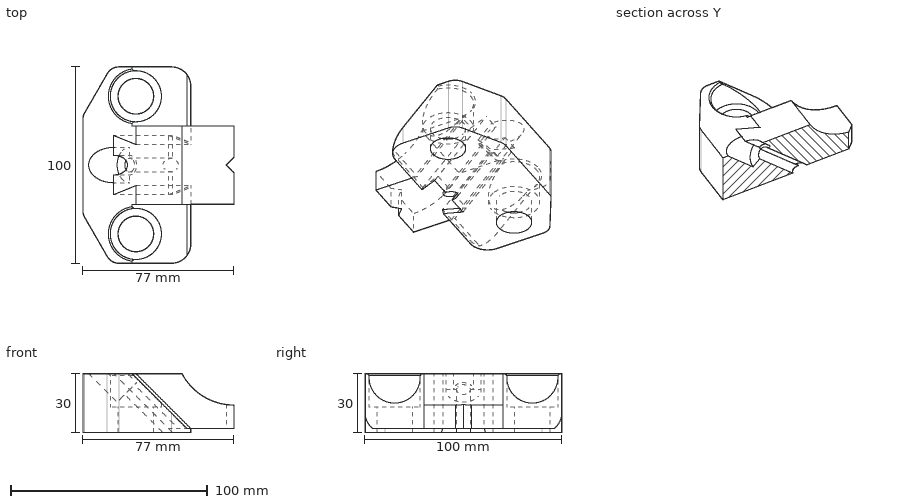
import cadquery as cq
import math

height = 30.0
base_length = 55.0
base_width = 100.0
nose_half_width = 25.0
nose_angle = 60.0
nose_radius = 7.0
rear_radius = 10.0

lip_height = 2.0
pad_top_x = base_length - (height - lip_height)
pad_offset = 2.0
slope_top_x = pad_top_x - pad_offset

mount_x = pad_top_x
mount_y = 35.0
mount_radius = 9.0
counterbore_radius = 13.0
counterbore_floor = 13.0
counterbore_chamfer = 1.0

tail_front_x = 15.7
tail_half_width = 15.0
neck_half_width = 10.5

block_end_x = 77.0
block_width = 40.0
block_end_height = 14.0
saddle_radius = 30.0
notch_depth = 4.0
notch_half_width = 4.0

head_radius = 9.0
head_depth = 11.5
block_groove_radius = 5.0
shank_radius = 3.5
screw_overrun = 10.0
screw_length = height * math.sqrt(2) + screw_overrun


def side_profile(points, width):
    """Extrude an XZ outline symmetrically about the plane Y = 0."""
    return cq.Workplane("XZ").polyline(points).close().extrude(width / 2, both=True)


def screw_cylinder(radius, start, end):
    """Cylinder on the 45 degree screw axis between two distances from the top face."""
    axis = cq.Vector(1, 0, -1).normalized()
    origin = cq.Vector(tail_front_x, 0, height) + axis * start
    return cq.Workplane(cq.Solid.makeCylinder(radius, end - start, origin, axis))


def dovetail(bottom):
    """Dovetail prism sheared at 45 degrees, from the top face down to the given height."""
    drop = height - bottom
    section = [
        (tail_front_x, -tail_half_width),
        (pad_top_x, -neck_half_width),
        (pad_top_x, neck_half_width),
        (tail_front_x, tail_half_width),
    ]
    top = cq.Wire.makePolygon([cq.Vector(x, y, height) for x, y in section], close=True)
    face = cq.Face.makeFromWires(top)
    return cq.Workplane(cq.Solid.extrudeLinear(face, cq.Vector(drop, 0, -drop)))


def base_blank():
    """Plate with a tapered nose and rounded vertical edges."""
    half_width = base_width / 2
    shoulder_x = (half_width - nose_half_width) / math.tan(math.radians(nose_angle))
    outline = [
        (0, -nose_half_width),
        (shoulder_x, -half_width),
        (base_length, -half_width),
        (base_length, half_width),
        (shoulder_x, half_width),
        (0, nose_half_width),
    ]
    blank = cq.Workplane("XY").polyline(outline).close().extrude(height)
    blank = blank.edges("|Z and >X").fillet(rear_radius)
    nose_region = cq.selectors.BoxSelector(
        (-base_length / 2, -base_width, 0),
        (base_length / 2, base_width, height),
    )
    return blank.edges("|Z").edges(nose_region).fillet(nose_radius)


def sloped_base():
    """Cut the slope, leaving a raised pad in the middle for the clamp block."""
    lip_x = base_length - pad_offset
    slope = [
        (0, 0),
        (base_length, 0),
        (base_length, lip_height),
        (lip_x, lip_height),
        (slope_top_x, height),
        (0, height),
    ]
    pad = [
        (0, 0),
        (base_length, 0),
        (base_length, lip_height),
        (pad_top_x, height),
        (0, height),
    ]
    envelope = side_profile(slope, base_width).union(side_profile(pad, block_width))
    return base_blank().intersect(envelope)


def mounting_hole_cutter(y):
    """Through hole, counterbore and the chamfer at the counterbore's top edge."""
    chamfer_z = height - counterbore_chamfer
    rim_radius = counterbore_radius + counterbore_chamfer
    profile = [
        (0, 0),
        (mount_radius, 0),
        (mount_radius, counterbore_floor),
        (counterbore_radius, counterbore_floor),
        (counterbore_radius, chamfer_z),
        (rim_radius, height),
        (0, height),
    ]
    cutter = cq.Workplane("XZ").polyline(profile).close().revolve(360, (0, 0), (0, 1))
    return cutter.translate((mount_x, y, 0))


def make_base():
    base = sloped_base().cut(dovetail(0))
    for y in (-mount_y, mount_y):
        base = base.cut(mounting_hole_cutter(y))
    base = base.cut(screw_cylinder(head_radius, -screw_overrun, head_depth))
    return base.cut(screw_cylinder(shank_radius, 0, screw_length))


def make_clamp_block():
    body = side_profile(
        [
            (pad_top_x, height),
            (base_length, lip_height),
            (block_end_x, lip_height),
            (block_end_x, height),
        ],
        block_width,
    )
    saddle = (
        cq.Workplane("XZ")
        .center(block_end_x, block_end_height + saddle_radius)
        .circle(saddle_radius)
        .extrude(block_width, both=True)
    )
    notch = (
        cq.Workplane("XY")
        .polyline([
            (block_end_x - notch_depth, 0),
            (block_end_x, -notch_half_width),
            (block_end_x, notch_half_width),
        ])
        .close()
        .extrude(height)
    )
    groove = screw_cylinder(block_groove_radius, -screw_overrun, head_depth)
    groove = groove.union(screw_cylinder(shank_radius, 0, screw_length))
    return body.union(dovetail(lip_height)).cut(saddle).cut(notch).cut(groove)


base = make_base()
clamp_block = make_clamp_block()

result = cq.Compound.makeCompound([base.val(), clamp_block.val()])